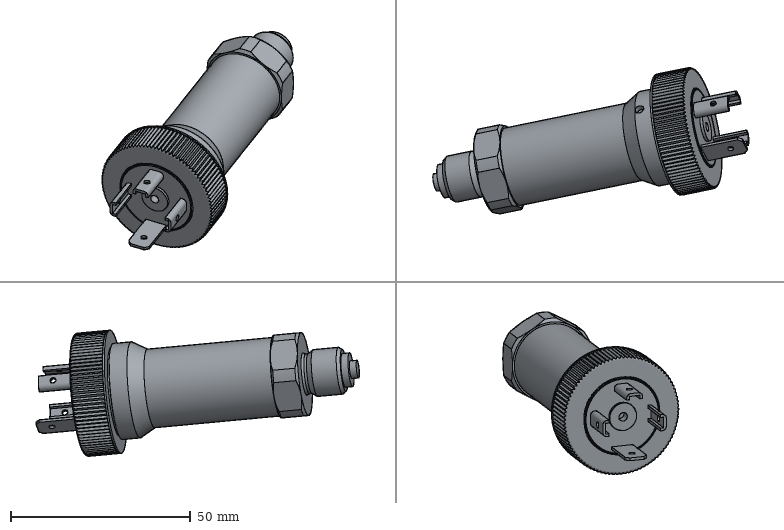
import cadquery as cq
import math


total_length = 90.85
y_port = total_length / 2
y_blade = -total_length / 2

tip_dia = 5.0
spigot_dia = 9.5
thread_dia = 13.2
neck_dia = 11.2
hex_across_flats = 23.2
hex_corner_dia = 25.0
tube_dia = 22.1
flange_dia = 27.0
groove_dia = 25.0
ring_dia = 34.5

tip_length = 1.9
spigot_length = 2.0
thread_length = 8.9
thread_lead_in = 1.0
thread_lead_depth = 0.7
thread_run_out = 0.8
thread_run_out_depth = 0.5
neck_length = 2.2
neck_flare = 0.7
neck_flare_depth = 0.4
hex_length = 7.7
hex_chamfer_length = 0.7
hex_chamfer_depth = 0.9
tube_length = 35.9
cone_length = 4.4
flange_length = 5.1
groove_length = 0.6

ring_length = 10.0
ring_rim = 0.5
ring_end_radius = 1.0
knurl_count = 92
knurl_depth = 0.5

bore_dia = 22.6
bore_depth = 0.9
insert_dia = 22.0
insert_height = 0.3
insert_chamfer = 0.23
boss_dia = 8.0
boss_height = 0.8
boss_hole_dia = 2.45
boss_hole_depth = 2.7

pin_length = 9.9
pin_width = 4.7
pin_depth = 1.8
pin_wall = 0.8
pin_bend_radius = 1.3
pin_outer_offset = 9.45
pin_hole_dia = 1.6
pin_hole_to_end = 4.2
blade_width = 6.4
blade_thickness = 0.8
blade_tip_chamfer = 1.1
contact_embed = 0.9

vent_dia = 2.45
vent_depth = 1.8
vent_to_ring = 4.4

y_spigot = y_port - tip_length
y_thread = y_spigot - spigot_length
y_neck = y_thread - thread_length
y_hex = y_neck - neck_length
y_tube = y_hex - hex_length
y_cone = y_tube - tube_length
y_flange = y_cone - cone_length
y_groove = y_flange - flange_length
y_ring = y_groove - groove_length
y_ring_end = y_ring - ring_length
y_insert = y_ring_end - insert_height
y_pin_end = y_insert - pin_length


def cylinder(dia, y_start, length):
    """Cylinder on the Y axis running from y_start toward -Y."""
    return cq.Workplane("XZ", origin=(0, y_start, 0)).circle(dia / 2).extrude(length)


def turned(points):
    """Solid of revolution about Y from (radius, y) points, closed on the axis."""
    profile = [(0, points[0][1])] + points + [(0, points[-1][1])]
    return cq.Workplane("XY").polyline(profile).close().revolve(360, (0, 0, 0), (0, 1, 0))


def make_body():
    thread_r = thread_dia / 2
    neck_r = neck_dia / 2
    y_neck_flare = y_neck - neck_flare
    y_neck_end = y_hex + neck_flare
    return turned([
        (tip_dia / 2, y_port),
        (tip_dia / 2, y_spigot),
        (spigot_dia / 2, y_spigot),
        (spigot_dia / 2, y_thread),
        (thread_r - thread_lead_depth, y_thread),
        (thread_r, y_thread - thread_lead_in),
        (thread_r, y_neck + thread_run_out),
        (thread_r - thread_run_out_depth, y_neck),
        (neck_r, y_neck_flare),
        (neck_r, y_neck_end),
        (neck_r + neck_flare_depth, y_hex),
        (tube_dia / 2, y_hex),
        (tube_dia / 2, y_cone),
        (flange_dia / 2, y_flange),
        (flange_dia / 2, y_groove),
        (groove_dia / 2, y_groove),
        (groove_dia / 2, y_ring),
    ])


def make_hex():
    """Hexagon with flats facing +-X and corners turned to a chamfered cylinder."""
    corner_r = hex_corner_dia / 2
    end_r = corner_r - hex_chamfer_depth
    turning = turned([
        (end_r, y_hex),
        (corner_r, y_hex - hex_chamfer_length),
        (corner_r, y_tube + hex_chamfer_length),
        (end_r, y_tube),
    ])
    prism = (
        cq.Workplane("XZ", origin=(0, y_hex, 0))
        .polygon(6, hex_across_flats, circumscribed=True)
        .extrude(hex_length)
    )
    return prism.intersect(turning)


def make_ring():
    """Ring with a plain rim, V-shaped knurl teeth and a rounded end."""
    crest_r = ring_dia / 2
    root_r = crest_r - knurl_depth
    half_pitch = math.pi / knurl_count
    teeth = []
    for i in range(2 * knurl_count):
        radius = crest_r if i % 2 == 0 else root_r
        angle = i * half_pitch
        teeth.append((radius * math.cos(angle), radius * math.sin(angle)))
    knurl = (
        cq.Workplane("XZ", origin=(0, y_ring - ring_rim, 0))
        .polyline(teeth)
        .close()
        .extrude(ring_length - ring_rim)
    )
    turning = cylinder(ring_dia, y_ring, ring_length).faces("<Y").edges().fillet(ring_end_radius)
    ring = cylinder(ring_dia, y_ring, ring_rim).union(knurl.intersect(turning))
    return ring.cut(cylinder(bore_dia, y_ring_end + bore_depth, bore_depth))


def make_insert():
    insert = cylinder(insert_dia, y_ring_end + bore_depth, bore_depth + insert_height)
    insert = insert.faces("<Y").chamfer(insert_chamfer)
    return insert.union(cylinder(boss_dia, y_insert, boss_height))


def make_pin():
    """U-section contact at +Z, its open side facing the axis."""
    length = pin_length + contact_embed
    start = cq.Workplane("XZ", origin=(0, y_insert + contact_embed, 0))
    z_middle = pin_outer_offset - pin_depth / 2
    outer = start.center(0, z_middle).rect(pin_width, pin_depth).extrude(length)
    outer = outer.edges("|Y and >Z").fillet(pin_bend_radius)
    channel = (
        start.center(0, z_middle - pin_wall)
        .rect(pin_width - 2 * pin_wall, pin_depth)
        .extrude(length)
    )
    return outer.cut(channel).cut(cross_hole(y_pin_end))


def cross_hole(y_end):
    """Hole along +Z, from the axis outward, for a contact ending at y_end."""
    return (
        cq.Workplane("XY", origin=(0, y_end + pin_hole_to_end, 0))
        .circle(pin_hole_dia / 2)
        .extrude(ring_dia / 2)
    )


def make_blade():
    """Flat earth blade at -Z with a chamfered tip."""
    y_start = y_insert + contact_embed
    blade = (
        cq.Workplane("XY", origin=(0, (y_start + y_blade) / 2, -pin_outer_offset))
        .rect(blade_width, y_start - y_blade)
        .extrude(blade_thickness)
    )
    blade = blade.edges("|Z and <Y").chamfer(blade_tip_chamfer)
    return blade.cut(cross_hole(y_blade).mirror("XY"))


def make_boss_hole():
    """Blind hole in the middle of the insert's boss."""
    y_bottom = y_insert - boss_height + boss_hole_depth
    return cylinder(boss_hole_dia, y_bottom, boss_hole_depth)


def make_vent():
    """Blind hole entering the flange from -X."""
    return (
        cq.Workplane("YZ", origin=(-flange_dia / 2, y_ring + vent_to_ring, 0))
        .circle(vent_dia / 2)
        .extrude(vent_depth)
    )


result = make_body().union(make_hex()).union(make_ring()).union(make_insert())
result = result.union(make_blade())
for turn in (-90, 0, 90):
    result = result.union(make_pin().rotate((0, 0, 0), (0, 1, 0), turn))
result = result.cut(make_boss_hole()).cut(make_vent())